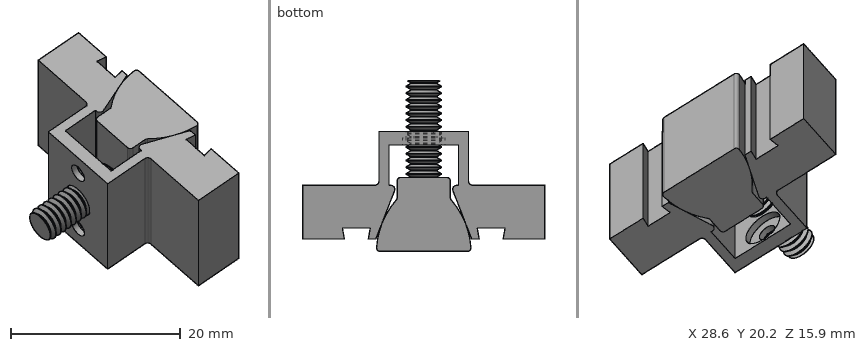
import cadquery as cq
import math

length_z = 15.88

housing_width = 28.57
flange_top = 12.70
flange_bottom = 6.35
channel_outer_half = 5.29
channel_inner_half = 4.08
base_thickness = 1.62
housing_corner_radius = 0.50

seat_top_half = 5.65
seat_angle = math.radians(21.3)
seat_slope = math.tan(seat_angle)
seat_bottom_half = seat_top_half - (flange_top - flange_bottom) * seat_slope

slot_center = 7.95
slot_mouth_width = 2.80
slot_depth = 1.27
slot_angle = math.radians(10)
slot_floor_width = slot_mouth_width + 2 * slot_depth * math.tan(slot_angle)

side_hole_diameter = 2.26
side_hole_offset = 5.08
side_hole_land = 0.79
counterbore_diameter = 5.00

wedge_top = 14.17
wedge_bottom = 5.42
wedge_neck_half = 3.14
wedge_corner_radius = 0.43
crown_radius = 9.6
contact_height = 10.90
contact_half = seat_top_half - (flange_top - contact_height) * seat_slope
crown_center_x = contact_half - crown_radius * math.cos(seat_angle)
crown_center_y = contact_height + crown_radius * math.sin(seat_angle)

screw_diameter = 4.17
screw_tip = -6.00
thread_pitch = 25.4 / 32
thread_flat = thread_pitch / 8
tip_chamfer = 0.26
flank_run = thread_pitch / 2 - thread_flat
thread_depth = flank_run / math.tan(math.radians(30))
crest_radius = screw_diameter / 2
root_radius = crest_radius - thread_depth


def box(half_width, y_low, y_high):
    """Full-length block centred on X = 0 and Z = 0, between two Y levels."""
    return (
        cq.Workplane("XY", origin=(0, (y_low + y_high) / 2, 0))
        .box(2 * half_width, y_high - y_low, length_z)
    )


def prism(points):
    """Closed XY outline extruded over the full length in Z."""
    return cq.Workplane("XY").polyline(points).close().extrude(length_z / 2, both=True)


def z_edges_at(half_width, height):
    """Selector for the mirrored pair of Z edges at X = +/-half_width and Y = height."""
    tolerance = 0.01
    selectors = [
        cq.selectors.BoxSelector(
            (side * half_width - tolerance, height - tolerance, -length_z),
            (side * half_width + tolerance, height + tolerance, length_z),
        )
        for side in (-1, 1)
    ]
    return selectors[0] + selectors[1]


def make_dovetail_slot(center_x):
    floor = flange_top - slot_depth
    return prism([
        (center_x - slot_mouth_width / 2, flange_top),
        (center_x - slot_floor_width / 2, floor),
        (center_x + slot_floor_width / 2, floor),
        (center_x + slot_mouth_width / 2, flange_top),
    ])


def base_bore(diameter, center_z, depth):
    """Cylinder sunk into the channel base from inside the channel."""
    return (
        cq.Workplane("XZ", origin=(0, base_thickness, center_z))
        .circle(diameter / 2)
        .extrude(depth)
    )


def make_housing():
    flanges = box(housing_width / 2, flange_bottom, flange_top)
    body = flanges.union(box(channel_outer_half, 0, flange_bottom))
    body = body.cut(box(channel_inner_half, base_thickness, flange_bottom))
    body = body.cut(prism([
        (-seat_top_half, flange_top),
        (-seat_bottom_half, flange_bottom),
        (seat_bottom_half, flange_bottom),
        (seat_top_half, flange_top),
    ]))

    body = body.edges(z_edges_at(seat_bottom_half, flange_bottom)).fillet(housing_corner_radius)
    body = body.edges(z_edges_at(channel_outer_half, flange_bottom)).fillet(housing_corner_radius)

    for side in (-1, 1):
        body = body.cut(make_dovetail_slot(side * slot_center))
        hole_z = side * side_hole_offset
        body = body.cut(base_bore(side_hole_diameter, hole_z, base_thickness))
        body = body.cut(base_bore(counterbore_diameter, hole_z, base_thickness - side_hole_land))

    return body.cut(base_bore(screw_diameter, 0, base_thickness))


def make_wedge():
    def crown_half(height):
        """Half width of the crowned sides at a given height."""
        return crown_center_x + math.sqrt(crown_radius**2 - (height - crown_center_y) ** 2)

    top_half = crown_half(wedge_top)
    shoulder_drop = math.sqrt(crown_radius**2 - (wedge_neck_half - crown_center_x) ** 2)
    shoulder = crown_center_y - shoulder_drop
    body = (
        cq.Workplane("XY")
        .moveTo(-wedge_neck_half, wedge_bottom)
        .lineTo(wedge_neck_half, wedge_bottom)
        .lineTo(wedge_neck_half, shoulder)
        .threePointArc((contact_half, contact_height), (top_half, wedge_top))
        .lineTo(-top_half, wedge_top)
        .threePointArc((-contact_half, contact_height), (-wedge_neck_half, shoulder))
        .close()
        .extrude(length_z / 2, both=True)
    )
    for half_width, height in (
        (top_half, wedge_top),
        (wedge_neck_half, shoulder),
        (wedge_neck_half, wedge_bottom),
    ):
        body = body.edges(z_edges_at(half_width, height)).fillet(wedge_corner_radius)
    return body


def make_screw():
    screw_length = wedge_bottom - screw_tip
    ridge_count = math.ceil(screw_length / thread_pitch)

    points = [(0, wedge_bottom), (root_radius, wedge_bottom)]
    for ridge in range(ridge_count):
        crest = wedge_bottom - (ridge + 0.5) * thread_pitch
        points += [
            (root_radius, crest + thread_flat / 2 + flank_run),
            (crest_radius, crest + thread_flat / 2),
            (crest_radius, crest - thread_flat / 2),
            (root_radius, crest - thread_flat / 2 - flank_run),
        ]
    ridges_end = wedge_bottom - ridge_count * thread_pitch
    points += [(root_radius, ridges_end), (0, ridges_end)]
    ridges = cq.Workplane("XY").polyline(points).close().revolve(360, (0, 0, 0), (0, 1, 0))
    envelope = (
        cq.Workplane("XZ", origin=(0, wedge_bottom, 0))
        .circle(crest_radius)
        .extrude(screw_length)
        .faces("<Y")
        .chamfer(tip_chamfer)
    )
    return ridges.intersect(envelope)


housing = make_housing()
wedge = make_wedge()
screw = make_screw()

result = cq.Compound.makeCompound([housing.val(), wedge.val(), screw.val()])